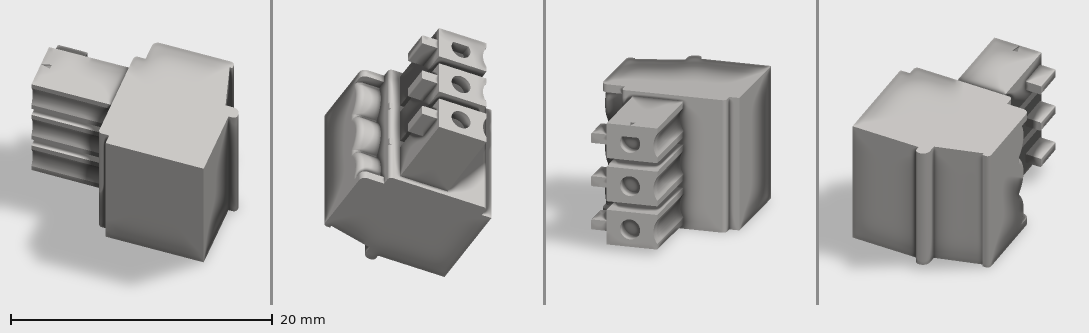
import cadquery as cq
import math

length = 16.1
width = 11.1
height = 10.7

pole_count = 3
pole_pitch = 3.5
pole_levels = [height / 2 + (i - (pole_count - 1) / 2) * pole_pitch for i in range(pole_count)]
gap_levels = [(low + high) / 2 for low, high in zip(pole_levels, pole_levels[1:])]

nose_x = 6.6
shoulder_x = 7.5
rear_x = 15.45
nose_low_y = 0.82
nose_high_y = 9.2
nose_radius = 0.29
shoulder_radius = 0.48
lip_x = 14.09
lip_depth = 0.6
lip_radius = 0.32
slope_start_x = 13.86
slope_end_x = 14.86
latch_low_y = 5.7
latch_high_y = 6.71
latch_upper_radius = 0.61
latch_lower_radius = 0.32

flange_thickness = 0.65
bump_radius = 2.25
bump_crest_x = 8.05
bump_half_height = 1.67
bump_end_strip = 0.16
gap_rib_height = 0.6

plug_low_y = 4.2
plug_high_y = 8.28
plug_tip_height = 2.8
plug_root_height = 2.88
groove_width = 1.9
groove_depth = 0.3
hole_y = 6.39
hole_radius = 0.8
hole_depth = 1.0
key_flat_offset = 0.48

peg_start_x = 0.25
peg_length = 2.4
peg_reach = 1.34
peg_height = 0.8
peg_edge_radius = 0.1

plug_arrow_length = 0.8
plug_arrow_width = 0.42
housing_arrow_length = 0.75
housing_arrow_width = 0.39
arrow_depth = 0.1


def box(x0, x1, y0, y1, z0, z1):
    """Axis-aligned box between two opposite corners."""
    return cq.Workplane("XY").box(x1 - x0, y1 - y0, z1 - z0, centered=False).translate((x0, y0, z0))


def make_housing():
    """Constant-section housing with the nose, the shoulder step, the lip and the latch."""
    lip_y = width - lip_depth
    upper_arc_y = latch_high_y - latch_upper_radius
    lower_arc_y = latch_low_y + latch_lower_radius
    profile = (
        cq.Workplane("XY")
        .moveTo(shoulder_x, 0)
        .lineTo(rear_x, 0)
        .lineTo(rear_x, latch_low_y)
        .lineTo(length - latch_lower_radius, latch_low_y)
        .radiusArc((length, lower_arc_y), -latch_lower_radius)
        .lineTo(length, upper_arc_y)
        .radiusArc((length - latch_upper_radius, latch_high_y), -latch_upper_radius)
        .lineTo(slope_end_x, latch_high_y)
        .lineTo(slope_start_x, lip_y)
        .lineTo(lip_x, lip_y)
        .lineTo(lip_x, width - lip_radius)
        .radiusArc((lip_x - lip_radius, width), -lip_radius)
        .lineTo(shoulder_x + shoulder_radius, width)
        .radiusArc((shoulder_x, width - shoulder_radius), -shoulder_radius)
        .lineTo(shoulder_x, nose_high_y)
        .lineTo(nose_x + nose_radius, nose_high_y)
        .radiusArc((nose_x, nose_high_y - nose_radius), -nose_radius)
        .lineTo(nose_x, nose_low_y + nose_radius)
        .radiusArc((nose_x + nose_radius, nose_low_y), -nose_radius)
        .lineTo(shoulder_x, nose_low_y)
        .close()
    )
    return profile.extrude(height)


def bump_surface_x(offset):
    """X of the bump surface at a Z offset from the level of its crest."""
    return bump_crest_x + bump_radius - math.sqrt(bump_radius**2 - offset**2)


def make_bumps(back_x):
    """Row of convex bumps, one per pole, with the edge along the +Y face rounded."""
    strip_offset = height / 2 - flange_thickness - bump_end_strip - pole_pitch * (pole_count - 1) / 2
    strip_x = bump_surface_x(strip_offset)
    valley_x = bump_surface_x(bump_half_height)
    profile = (
        cq.Workplane("XZ", origin=(0, width, 0))
        .moveTo(back_x, flange_thickness)
        .lineTo(strip_x, flange_thickness)
    )
    for level in pole_levels:
        is_first = level == pole_levels[0]
        is_last = level == pole_levels[-1]
        start = (strip_x, level - strip_offset) if is_first else (valley_x, level - bump_half_height)
        end = (strip_x, level + strip_offset) if is_last else (valley_x, level + bump_half_height)
        profile = profile.lineTo(*start).threePointArc((bump_crest_x, level), end)
    profile = (
        profile.lineTo(strip_x, height - flange_thickness)
        .lineTo(back_x, height - flange_thickness)
        .close()
    )
    bumps = profile.extrude(width - nose_high_y)
    margin = 0.02
    edge_zone = cq.selectors.BoxSelector(
        (shoulder_x, width - margin, flange_thickness + margin),
        (back_x - margin, width + margin, height - flange_thickness - margin),
    )
    return bumps.edges(edge_zone).fillet(shoulder_radius)


def make_gap_ribs():
    """Square corners that replace the rounded nose edge between the poles."""
    ribs = cq.Workplane("XY")
    for level in gap_levels:
        ribs = ribs.union(
            box(
                nose_x,
                nose_x + nose_radius,
                nose_high_y - nose_radius,
                nose_high_y,
                level - gap_rib_height / 2,
                level + gap_rib_height / 2,
            )
        )
    return ribs


def make_plug(level):
    """Plug widening slightly in Z toward its root, with a concave groove and a coding key."""
    plug = (
        cq.Workplane("XZ", origin=(0, plug_high_y, level))
        .moveTo(0, -plug_tip_height / 2)
        .lineTo(nose_x, -plug_root_height / 2)
        .lineTo(nose_x, plug_root_height / 2)
        .lineTo(0, plug_tip_height / 2)
        .close()
        .extrude(plug_high_y - plug_low_y)
    )
    groove = (
        cq.Workplane("YZ", origin=(0, plug_low_y, level))
        .moveTo(0, -groove_width / 2)
        .threePointArc((groove_depth, 0), (0, groove_width / 2))
        .close()
        .extrude(nose_x)
    )
    peg = box(
        peg_start_x,
        peg_start_x + peg_length,
        plug_high_y,
        plug_high_y + peg_reach,
        level - peg_height / 2,
        level + peg_height / 2,
    )
    peg = peg.faces(">Y").edges("|X").fillet(peg_edge_radius)
    return plug.cut(groove).union(peg)


def make_socket(level, has_flat):
    """Blind round socket in the plug tip; the keyed one has a flat on its upper side."""
    socket = cq.Workplane("YZ", origin=(0, hole_y, level)).circle(hole_radius).extrude(hole_depth)
    if has_flat:
        flat_z = level + key_flat_offset
        above_flat = box(
            0, hole_depth, hole_y - hole_radius, hole_y + hole_radius, flat_z, flat_z + hole_radius
        )
        socket = socket.cut(above_flat)
    return socket


def make_plug_arrow():
    """Arrow sunk into the top of the uppermost plug, pointing to its tip."""
    tip_top_z = pole_levels[-1] + plug_tip_height / 2
    return (
        cq.Workplane("XY", origin=(0, hole_y, tip_top_z - arrow_depth))
        .polyline(
            [(0, 0), (plug_arrow_length, -plug_arrow_width / 2), (plug_arrow_length, plug_arrow_width / 2)]
        )
        .close()
        .extrude(plug_root_height - plug_tip_height + arrow_depth)
    )


def make_housing_arrow(level):
    """Arrow sunk into the nose face between two plugs, pointing to -Y."""
    return (
        cq.Workplane("YZ", origin=(nose_x, hole_y, level))
        .polyline(
            [
                (0, 0),
                (housing_arrow_length, -housing_arrow_width / 2),
                (housing_arrow_length, housing_arrow_width / 2),
            ]
        )
        .close()
        .extrude(arrow_depth)
    )


bump_back_x = (shoulder_x + slope_start_x) / 2
bump_space = box(
    shoulder_x, bump_back_x, nose_high_y, width, flange_thickness, height - flange_thickness
)
result = make_housing().cut(bump_space).union(make_bumps(bump_back_x)).union(make_gap_ribs())

for pole_level in pole_levels:
    result = result.union(make_plug(pole_level))
    result = result.cut(make_socket(pole_level, pole_level == pole_levels[-1]))

result = result.cut(make_plug_arrow())
for gap_level in gap_levels:
    result = result.cut(make_housing_arrow(gap_level))